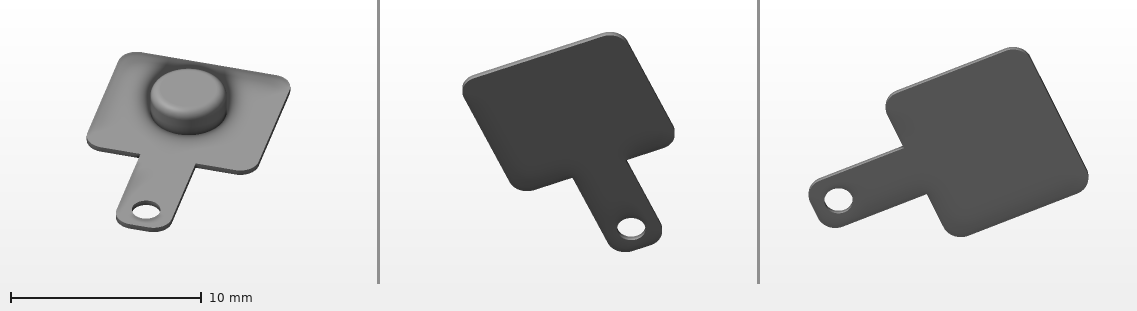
import cadquery as cq

total_length = 14.0
plate_width = 9.3
total_height = 1.8

sheet_thickness = 0.3
plate_length = 8.2
tab_width = 3.0
corner_radius = 1.0
tab_length = total_length - plate_length

hole_diameter = 1.5
hole_to_tab_end = 1.4

button_diameter = 4.0
button_edge_radius = 0.5


def make_plate():
    """Rounded rectangle centred on the origin, resting on Z = 0."""
    plate = cq.Workplane("XY").rect(plate_width, plate_length).extrude(sheet_thickness)
    return plate.edges("|Z").fillet(corner_radius)


def make_tab():
    """Tab running in -Y from the plate edge, with a rounded, drilled end."""
    plate_edge_y = -plate_length / 2
    tab_end_y = plate_edge_y - tab_length
    tab = (
        cq.Workplane("XY")
        .center(0, plate_edge_y - tab_length / 2)
        .rect(tab_width, tab_length)
        .extrude(sheet_thickness)
        .edges("|Z and <Y")
        .fillet(corner_radius)
    )
    hole = (
        cq.Workplane("XY")
        .center(0, tab_end_y + hole_to_tab_end)
        .circle(hole_diameter / 2)
        .extrude(sheet_thickness)
    )
    return tab.cut(hole)


def make_button():
    """Solid round button with a rounded top edge."""
    button = cq.Workplane("XY").circle(button_diameter / 2).extrude(total_height)
    return button.faces(">Z").edges().fillet(button_edge_radius)


result = make_plate().union(make_tab()).union(make_button())